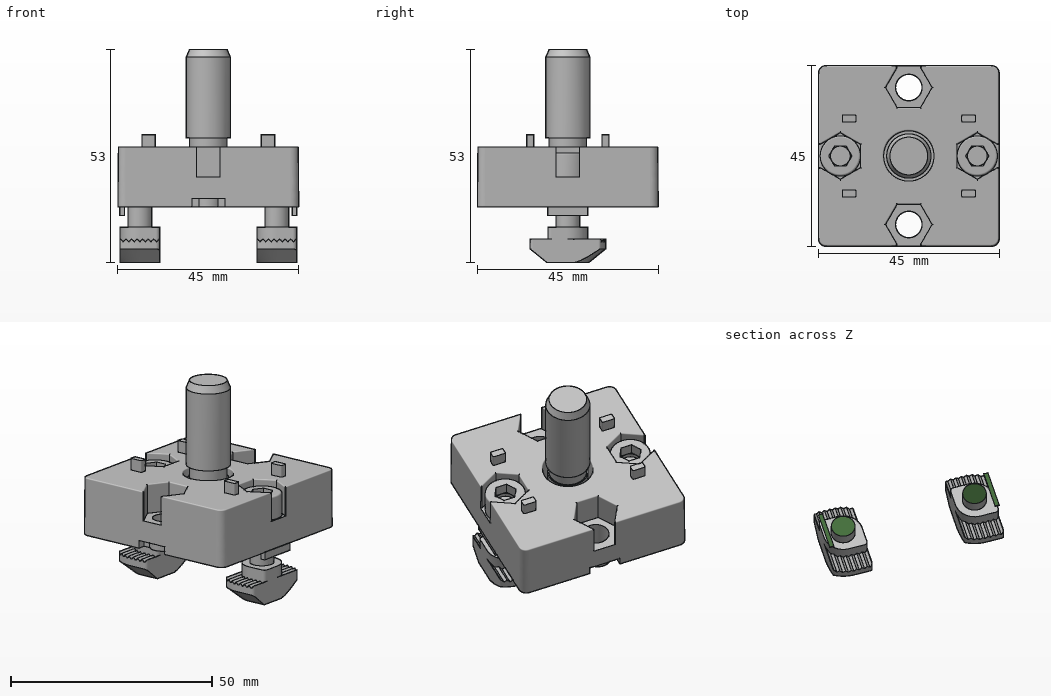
import cadquery as cq
import math


OVERALL_HEIGHT = 53.0

BODY_SIDE = 45.0
BODY_HEIGHT = 15.0
BODY_DRAFT = 0.5
BODY_CORNER_RADIUS = 2.0
EDGE_RADIUS = 0.3

STATION_RADIUS = 17.0
SCREW_HOLE_DIAMETER = 6.5
HEX_FLATS = 10.0
POCKET_FLOOR = BODY_HEIGHT / 2
CORNERS_PER_FLATS = 2 / math.sqrt(3)

STUD_BORE_DIAMETER = 12.5

PEG_X = 14.85
PEG_Y = 9.35
PEG_LENGTH = 3.4
PEG_WIDTH = 1.8
PEG_HEIGHT = 3.0
TAB_X = 21.4
TAB_THICKNESS = 1.2
TAB_WIDTH = 10.0
TAB_HEIGHT = 2.1
TAB_RADIUS = 0.15

NOTCH_WIDTH = 8.15
NOTCH_HEIGHT = 2.1
NOTCH_DEPTH = 2.05
NOTCH_BULGE_DIAMETER = 6.5
NOTCH_BULGE = 1.0

STUD_DIAMETER = 11.0
STUD_NECK_DIAMETER = 9.4
STUD_COLLAR_DIAMETER = 10.0
STUD_COLLAR_RECESS = 1.1
STUD_COLLAR_TOP = BODY_HEIGHT - STUD_COLLAR_RECESS
STUD_NECK_TOP = 17.2
STUD_TOP = 39.2
STUD_TIP_HEIGHT = 1.95

NUT_BOTTOM = STUD_TOP - OVERALL_HEIGHT
NUT_WIDTH = 9.9
NUT_HALF_LENGTH = 9.45
NUT_BOTTOM_HALF_LENGTH = 5.2
NUT_BEVEL_HEIGHT = 3.45
NUT_FLANGE_HEIGHT = 5.9
NUT_HEIGHT = 8.85
NUT_SMALL_RADIUS = 0.9
NUT_BLEND_RADIUS = 0.6
TOOTH_PITCH = 1.4
GROOVES = 7

SCREW_DIAMETER = 6.0
SCREW_HEAD_DIAMETER = HEX_FLATS
SCREW_HEAD_HEIGHT = 6.0
SCREW_HEAD_RADIUS = 0.5
SOCKET_FLATS = 5.0
SOCKET_DEPTH = 2.8
SOCKET_PILOT_DIAMETER = 4.95
SOCKET_PILOT_DEPTH = 1.0


def cylinder(diameter, bottom, top):
    """Upright cylinder on the Z axis."""
    return cq.Workplane("XY").workplane(offset=bottom).circle(diameter / 2).extrude(top - bottom)


def tapered(diameter, top_diameter, bottom, top):
    """Upright truncated cone on the Z axis."""
    base_centre = cq.Vector(0, 0, bottom)
    return cq.Workplane(cq.Solid.makeCone(diameter / 2, top_diameter / 2, top - bottom, base_centre))


def box(x_size, y_size, z_size):
    """Box centred in X and Y that stands on Z = 0."""
    return cq.Workplane("XY").box(x_size, y_size, z_size, centered=(True, True, False))



def body_block():
    """Square block with round corners and drafted sides."""
    block = box(BODY_SIDE, BODY_SIDE, BODY_HEIGHT).edges("|Z").fillet(BODY_CORNER_RADIUS)
    outline = block.faces("<Z").wires().toPending()
    return outline.extrude(BODY_HEIGHT, taper=BODY_DRAFT, combine=False)


def nut_pocket():
    """Hexagonal pocket on the +X side, with a rounded mouth and open towards the outer wall."""
    depth = BODY_HEIGHT - POCKET_FLOOR
    side = HEX_FLATS / math.sqrt(3)
    blank = box(2 * HEX_FLATS, 2 * HEX_FLATS, depth)
    hexagon = cq.Workplane("XY").polygon(6, HEX_FLATS * CORNERS_PER_FLATS).extrude(depth)
    hexagon = hexagon.rotate((0, 0, 0), (0, 0, 1), 30)
    surround = blank.cut(hexagon)
    surround = surround.faces(">Z").wires(cq.selectors.LengthNthSelector(0)).edges().fillet(EDGE_RADIUS)
    opening = box(HEX_FLATS, side, depth).translate((HEX_FLATS, 0, 0))
    return blank.cut(surround).union(opening).translate((STATION_RADIUS, 0, POCKET_FLOOR))


def notch():
    """Notch in the bottom edge of the -Y side, with a rounded bulge on its inner wall."""
    wall_y = NOTCH_DEPTH - BODY_SIDE / 2
    recess = box(NOTCH_WIDTH, 2 * NOTCH_DEPTH, NOTCH_HEIGHT).translate((0, wall_y - NOTCH_DEPTH, 0))
    bulge_y = wall_y - NOTCH_BULGE + NOTCH_BULGE_DIAMETER / 2
    return recess.cut(cylinder(NOTCH_BULGE_DIAMETER, 0, NOTCH_HEIGHT).translate((0, bulge_y, 0)))


def peg():
    """Locating peg for the +X +Y quadrant."""
    blank = box(PEG_LENGTH, PEG_WIDTH, PEG_HEIGHT).edges("|Z").fillet(EDGE_RADIUS)
    return blank.translate((PEG_X, PEG_Y, BODY_HEIGHT))


def tab():
    """Locating tab under the +X side."""
    blank = box(TAB_THICKNESS, TAB_WIDTH, TAB_HEIGHT).edges("<Z and |Y").fillet(TAB_RADIUS)
    return blank.translate((TAB_X, 0, -TAB_HEIGHT))


def make_housing():
    """Housing with its pockets, holes, notches, pegs and tabs."""
    housing = body_block()
    for angle in (0, 180):
        housing = housing.cut(notch().rotate((0, 0, 0), (0, 0, 1), angle))
    housing = housing.cut(cylinder(STUD_BORE_DIAMETER, POCKET_FLOOR, BODY_HEIGHT))
    housing = housing.faces(">Z or <Z").edges().fillet(EDGE_RADIUS)
    for angle in (0, 90, 180, 270):
        housing = housing.cut(nut_pocket().rotate((0, 0, 0), (0, 0, 1), angle))
    station_hole = cylinder(SCREW_HOLE_DIAMETER, 0, BODY_HEIGHT)
    for x, y in ((1, 0), (0, 1), (-1, 0), (0, -1)):
        housing = housing.cut(station_hole.translate((x * STATION_RADIUS, y * STATION_RADIUS, 0)))
    right_pegs = peg().union(peg().mirror("XZ"))
    housing = housing.union(right_pegs).union(right_pegs.mirror("YZ"))
    return housing.union(tab()).union(tab().mirror("YZ"))



def make_stud():
    """Stud with a collar in the housing bore, a neck and a tapered tip."""
    tip_bottom = STUD_TOP - STUD_TIP_HEIGHT
    stud = cylinder(STUD_COLLAR_DIAMETER, POCKET_FLOOR, STUD_COLLAR_TOP)
    stud = stud.union(cylinder(STUD_NECK_DIAMETER, STUD_COLLAR_TOP, STUD_NECK_TOP))
    stud = stud.union(cylinder(STUD_DIAMETER, STUD_NECK_TOP, tip_bottom))
    return stud.union(tapered(STUD_DIAMETER, STUD_NECK_DIAMETER, tip_bottom, STUD_TOP))



def turning_plan(half_length, height, blend_radius):
    """Nut-wide block, two opposite corners rounded about the nut axis and two with a small fillet."""
    half_width = NUT_WIDTH / 2
    block = box(NUT_WIDTH, 2 * half_length, height)
    round_bar = cylinder(2 * half_length, 0, height)
    quadrant = box(half_width, half_length, height).translate((half_width / 2, half_length / 2, 0))
    corner = quadrant.cut(round_bar)
    block = block.cut(corner).cut(corner.rotate((0, 0, 0), (0, 0, 1), 180))
    if blend_radius:
        blend_y = math.sqrt(half_length**2 - half_width**2)
        for sign in (1, -1):
            point = (sign * half_width, sign * blend_y, height / 2)
            block = block.edges(cq.selectors.NearestToPointSelector(point)).fillet(blend_radius)
    for sign in (1, -1):
        point = (sign * half_width, -sign * half_length, height / 2)
        block = block.edges(cq.selectors.NearestToPointSelector(point)).fillet(NUT_SMALL_RADIUS)
    return block


def nut_underside():
    """Envelope of the flange: flat bevels in two quadrants, a cone in the two rounded ones."""
    profile = [
        (0, 0),
        (NUT_BOTTOM_HALF_LENGTH, 0),
        (NUT_HALF_LENGTH, NUT_BEVEL_HEIGHT),
        (NUT_HALF_LENGTH, NUT_FLANGE_HEIGHT),
        (0, NUT_FLANGE_HEIGHT),
    ]
    half_width = NUT_WIDTH / 2
    flat = cq.Workplane("YZ").polyline(profile).close().extrude(-half_width)
    cone = cq.Workplane("XZ").polyline(profile).close().revolve(360, (0, 0, 0), (0, 1, 0))
    quadrant = box(half_width, NUT_HALF_LENGTH, NUT_FLANGE_HEIGHT)
    cone = cone.intersect(quadrant.translate((half_width / 2, NUT_HALF_LENGTH / 2, 0)))
    half = flat.union(cone)
    return half.union(half.rotate((0, 0, 0), (0, 0, 1), 180))


def tooth_grooves():
    """V grooves of 90 degrees along Y in the top of the flange."""
    half_pitch = TOOTH_PITCH / 2
    groove = cq.Workplane("XZ").polyline([(-half_pitch, 0), (half_pitch, 0), (0, -half_pitch)]).close()
    groove = groove.extrude(NUT_HALF_LENGTH, both=True)
    centres = [(i - (GROOVES - 1) / 2) * TOOTH_PITCH for i in range(GROOVES)]
    return [groove.translate((x, 0, NUT_FLANGE_HEIGHT)) for x in centres]


def make_nut():
    """Toothed flange with a boss on top and a through hole for the screw."""
    flange = turning_plan(NUT_HALF_LENGTH, NUT_FLANGE_HEIGHT, NUT_BLEND_RADIUS).intersect(nut_underside())
    for groove in tooth_grooves():
        flange = flange.cut(groove)
    boss = turning_plan(NUT_WIDTH / 2, NUT_HEIGHT - NUT_BEVEL_HEIGHT, 0).translate((0, 0, NUT_BEVEL_HEIGHT))
    nut = flange.union(boss).cut(cylinder(SCREW_DIAMETER, 0, NUT_HEIGHT))
    return nut.translate((0, 0, NUT_BOTTOM))



def make_screw():
    """Screw seated on a pocket floor and ending flush with the underside of its nut."""
    head_top = POCKET_FLOOR + SCREW_HEAD_HEIGHT
    socket_floor = head_top - SOCKET_DEPTH
    screw = cylinder(SCREW_HEAD_DIAMETER, POCKET_FLOOR, head_top)
    screw = screw.faces(">Z").edges().fillet(SCREW_HEAD_RADIUS)
    screw = screw.union(cylinder(SCREW_DIAMETER, NUT_BOTTOM, POCKET_FLOOR))
    socket = cq.Workplane("XY").workplane(offset=socket_floor)
    socket = socket.polygon(6, SOCKET_FLATS * CORNERS_PER_FLATS).extrude(SOCKET_DEPTH)
    pilot = cylinder(SOCKET_PILOT_DIAMETER, socket_floor - SOCKET_PILOT_DEPTH, socket_floor)
    return screw.cut(socket).cut(pilot)


housing = make_housing()
stud = make_stud()
screw_stations = [(-STATION_RADIUS, 0, 0), (STATION_RADIUS, 0, 0)]
screws = [make_screw().translate(station) for station in screw_stations]
nuts = [make_nut().translate(station) for station in screw_stations]

result = cq.Compound.makeCompound(
    [housing.val(), stud.val(), *[screw.val() for screw in screws], *[nut.val() for nut in nuts]]
)